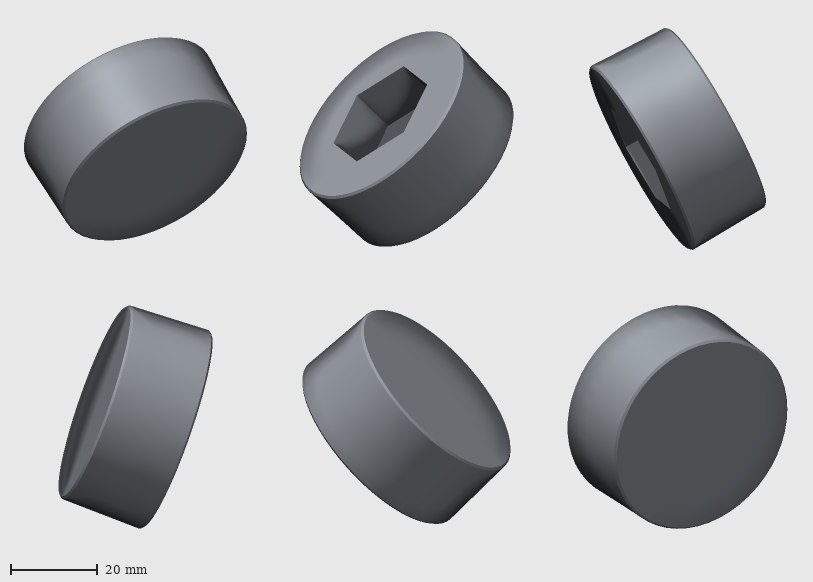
import cadquery as cq
import math

length = 20.0
taper = 1 / 16
rim_diameter = 48.4
chamfer = 0.5
socket_across_flats = 24.0
socket_depth = 11.5

socket_across_corners = socket_across_flats / math.cos(math.pi / 6)


def radius_at(x):
    """Radius of the tapered side at distance x from the socket end."""
    return (rim_diameter - taper * (x - chamfer)) / 2


def make_body():
    """Tapered body with a chamfer at each end, revolved about X."""
    small_end = length - chamfer
    profile = (
        cq.Workplane("XY")
        .moveTo(0, 0)
        .lineTo(0, radius_at(chamfer) - chamfer)
        .lineTo(chamfer, radius_at(chamfer))
        .lineTo(small_end, radius_at(small_end))
        .lineTo(length, radius_at(small_end) - chamfer)
        .lineTo(length, 0)
        .close()
    )
    return profile.revolve(360, (0, 0, 0), (1, 0, 0))


def make_socket():
    """Blind hexagon socket with two flats facing up and down and corners along Y."""
    return cq.Workplane("YZ").polygon(6, socket_across_corners).extrude(socket_depth)


result = make_body().cut(make_socket())